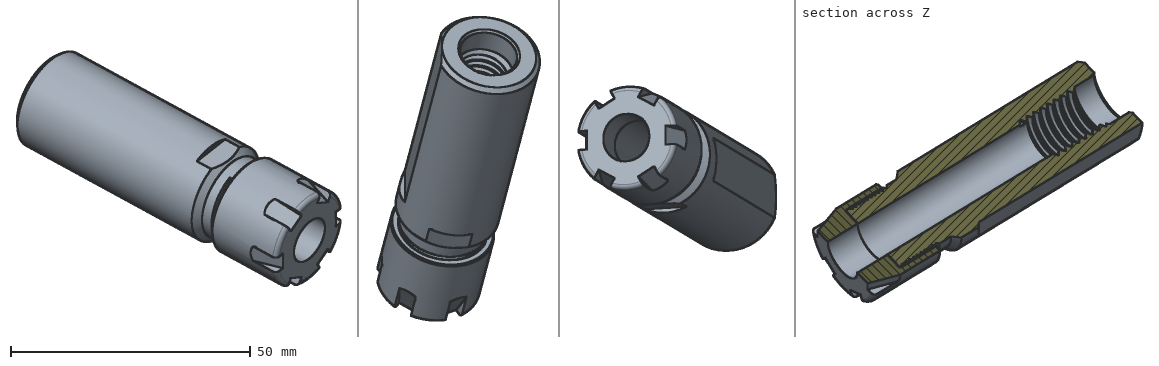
import cadquery as cq
import math

total_length = 71.3
outer_radius = 22.0 / 2

rear_chamfer = 1.0
flat_depth = 1.0
clamping_flat_end = 43.0
wrench_flat_start = 44.5
shoulder_start = 48.4
neck_radius = 9.5
neck_start = shoulder_start + outer_radius - neck_radius
holder_length = 63.45

entry_radius = 6.05
entry_chamfer = 0.5
entry_depth = 5.55
bore_radius = 5.05
cone_end = entry_depth + entry_radius - bore_radius

thread_depth_ratio = 5 / 8 * math.sqrt(3) / 2
wide_flat_ratio = 1 / 4
narrow_flat_ratio = 1 / 8
mouth_overrun = 0.1
neck_pitch = 1.0
neck_thread_start = 52.75
neck_thread_angle = 20.0
bore_pitch = 1.8
bore_thread_start = 5.8
bore_thread_end = 19.95
bore_thread_angle = 110.0

nut_start = 53.75
nut_rear_chamfer = 0.3
nut_front_fillet = 1.0
slot_count = 6
slot_width = 4.0
slot_start = 64.45
slot_floor_angle = 19.0

clearance = 0.7


def revolved(points):
    """Solid turned about the X axis from (x, radius) points."""
    return cq.Workplane("XY").polyline(points).close().revolve(360, (0, 0, 0), (1, 0, 0))


def thread_groove(open_radius, root_radius, open_width, root_width, pitch, start, end, angle):
    """Right-hand helical groove along X, open at open_radius and flat at root_radius.

    The groove begins at the given angle, turned from +Z towards -Y.
    """
    depth = open_radius - root_radius
    mouth_radius = open_radius + depth * mouth_overrun
    mouth_width = open_width + (open_width - root_width) * mouth_overrun
    path = cq.Workplane(obj=cq.Wire.makeHelix(pitch, end - start, open_radius))
    groove = (
        cq.Workplane("XZ")
        .polyline([
            (mouth_radius, -mouth_width / 2),
            (root_radius, -root_width / 2),
            (root_radius, root_width / 2),
            (mouth_radius, mouth_width / 2),
        ])
        .close()
        .sweep(path, isFrenet=True)
    )
    groove = groove.rotate((0, 0, 0), (0, 1, 0), 90)
    return groove.rotate((0, 0, 0), (1, 0, 0), 180 + angle).translate((start, 0, 0))


def holder_blank():
    """Turned body with its stepped through bore."""
    return revolved([
        (0, entry_radius + entry_chamfer),
        (0, outer_radius - rear_chamfer),
        (rear_chamfer, outer_radius),
        (shoulder_start, outer_radius),
        (neck_start, neck_radius),
        (holder_length, neck_radius),
        (holder_length, bore_radius),
        (cone_end, bore_radius),
        (entry_depth, entry_radius),
        (entry_chamfer, entry_radius),
    ])


def clamping_flat_cutter():
    """Long flat on the +Y side, running out at 45 degrees."""
    flat_y = outer_radius - flat_depth
    reach = flat_depth + clearance
    return (
        cq.Workplane("XY")
        .polyline([
            (-clearance, flat_y),
            (clamping_flat_end, flat_y),
            (clamping_flat_end + reach, flat_y + reach),
            (-clearance, flat_y + reach),
        ])
        .close()
        .extrude(outer_radius, both=True)
    )


def wrench_flat_cutter(side):
    """Flat on the +Z (side = 1) or -Z (side = -1) face, open towards the neck."""
    length = neck_start - wrench_flat_start
    height = flat_depth + clearance
    return cq.Workplane("XY").box(length, 2 * outer_radius, height).translate((
        wrench_flat_start + length / 2,
        0,
        side * (outer_radius - flat_depth + height / 2),
    ))


def neck_thread():
    """External thread groove, stopping short of the front end of the neck."""
    return thread_groove(
        neck_radius,
        neck_radius - thread_depth_ratio * neck_pitch,
        (1 - narrow_flat_ratio) * neck_pitch,
        wide_flat_ratio * neck_pitch,
        neck_pitch,
        neck_thread_start,
        holder_length - neck_pitch,
        neck_thread_angle,
    )


def bore_thread():
    """Internal thread groove, starting at the cone in the bore."""
    return thread_groove(
        bore_radius,
        bore_radius + thread_depth_ratio * bore_pitch,
        (1 - wide_flat_ratio) * bore_pitch,
        narrow_flat_ratio * bore_pitch,
        bore_pitch,
        bore_thread_start,
        bore_thread_end,
        bore_thread_angle,
    )


def make_holder():
    body = holder_blank().cut(clamping_flat_cutter())
    for side in (1, -1):
        body = body.cut(wrench_flat_cutter(side))
    return body.cut(neck_thread()).cut(bore_thread())


def nut_blank():
    """Cap screwed over the neck, seated on its front end."""
    fillet_bulge = nut_front_fillet * math.sqrt(0.5)
    return (
        cq.Workplane("XY")
        .moveTo(nut_start, neck_radius)
        .lineTo(nut_start, outer_radius - nut_rear_chamfer)
        .lineTo(nut_start + nut_rear_chamfer, outer_radius)
        .lineTo(total_length - nut_front_fillet, outer_radius)
        .threePointArc(
            (
                total_length - nut_front_fillet + fillet_bulge,
                outer_radius - nut_front_fillet + fillet_bulge,
            ),
            (total_length, outer_radius - nut_front_fillet),
        )
        .lineTo(total_length, bore_radius)
        .lineTo(holder_length, bore_radius)
        .lineTo(holder_length, neck_radius)
        .close()
        .revolve(360, (0, 0, 0), (1, 0, 0))
    )


def nut_slot_cutter(angle):
    """Spanner slot with a floor sloping inwards to the front, turned from +Y about X."""
    length = total_length + clearance - slot_start
    floor_radius = outer_radius - length * math.tan(math.radians(slot_floor_angle))
    slot = (
        cq.Workplane("XY")
        .polyline([
            (slot_start, outer_radius),
            (slot_start + length, floor_radius),
            (slot_start + length, outer_radius + clearance),
            (slot_start, outer_radius + clearance),
        ])
        .close()
        .extrude(slot_width / 2, both=True)
    )
    return slot.rotate((0, 0, 0), (1, 0, 0), angle)


def make_nut():
    nut = nut_blank()
    for index in range(slot_count):
        nut = nut.cut(nut_slot_cutter(index * 360 / slot_count))
    return nut


holder = make_holder()
nut = make_nut()
result = cq.Compound.makeCompound([holder.val(), nut.val()])